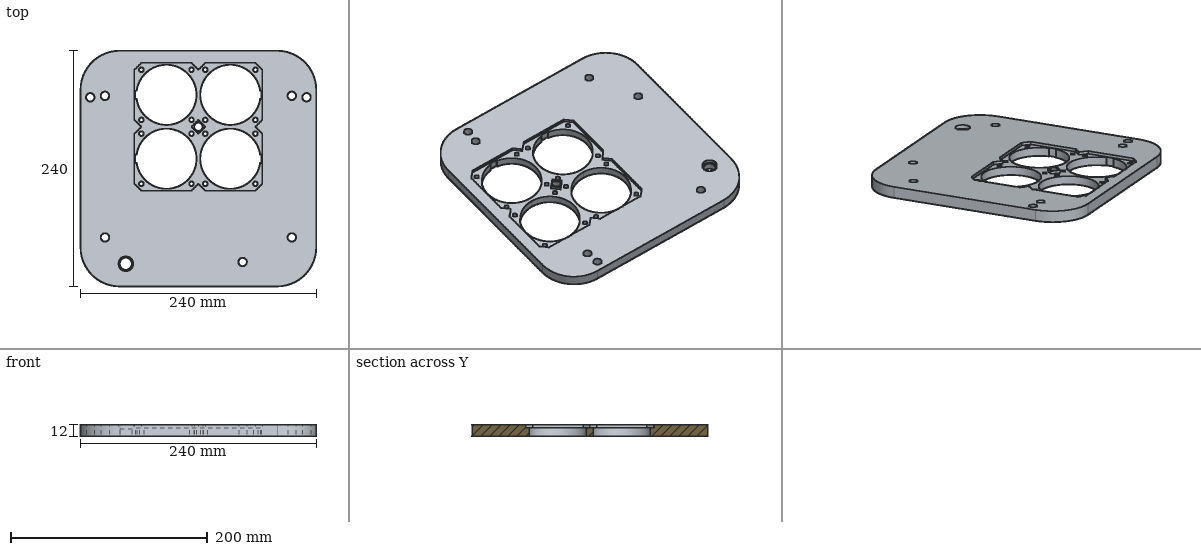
import cadquery as cq

PLATE_SIZE = 240.0
PLATE_THICKNESS = 12.0
PLATE_CORNER_RADIUS = 40.0

FAN_SIZE = 65.0
FAN_CORNER_CHAMFER = 7.0
FAN_RECESS_DEPTH = 3.0
FAN_BORE_DIAMETER = 61.0
FAN_SCREW_PITCH = 51.0
FAN_SCREW_DIAMETER = 4.5
FAN_GROUP_Y = 42.5

RELIEF_WIDTH = 8.2
RELIEF_REACH = 31.5

BOLT_DIAMETER = 8.4
BOLT_X = 95.0
UPPER_BOLT_Y = 74.0
LOWER_BOLT_Y = -70.0
EDGE_HOLE_X = 110.0
EDGE_HOLE_Y = 72.5
FRONT_HOLE_POSITION = (45.0, -95.0)

CABLE_HOLE_POSITION = (-73.8, -96.8)
CABLE_HOLE_DIAMETER = 12.2
CABLE_COUNTERBORE_DIAMETER = 15.0
CABLE_COUNTERBORE_DEPTH = 4.0

SIDES = (-1, 1)


def cylinder(diameter, points, bottom=0.0):
    """Cylinders from the given height up to the top face, one per point."""
    return (
        cq.Workplane("XY", origin=(0, 0, bottom))
        .pushPoints(points)
        .circle(diameter / 2)
        .extrude(PLATE_THICKNESS - bottom)
    )


def make_plate():
    return (
        cq.Workplane("XY")
        .rect(PLATE_SIZE, PLATE_SIZE)
        .extrude(PLATE_THICKNESS)
        .edges("|Z")
        .fillet(PLATE_CORNER_RADIUS)
    )


def fan_cutter(side_x, side_y):
    """Recess, bore, outer relief and four screw holes of one fan."""
    x = side_x * FAN_SIZE / 2
    y = FAN_GROUP_Y + side_y * FAN_SIZE / 2
    recess = (
        cq.Workplane("XY", origin=(x, y, PLATE_THICKNESS - FAN_RECESS_DEPTH))
        .rect(FAN_SIZE, FAN_SIZE)
        .extrude(FAN_RECESS_DEPTH)
        .edges("|Z")
        .chamfer(FAN_CORNER_CHAMFER)
    )
    relief = (
        cq.Workplane("XY", origin=(x + side_x * RELIEF_REACH / 2, y, 0))
        .rect(RELIEF_REACH, RELIEF_WIDTH)
        .extrude(PLATE_THICKNESS)
    )
    screw_offset = FAN_SCREW_PITCH / 2
    screws = [(x + i * screw_offset, y + j * screw_offset) for i in SIDES for j in SIDES]
    return (
        recess.union(relief)
        .union(cylinder(FAN_BORE_DIAMETER, [(x, y)]))
        .union(cylinder(FAN_SCREW_DIAMETER, screws))
    )


def bolt_cutter():
    """All plain holes, including the one through the post between the fans."""
    points = [(0, FAN_GROUP_Y), FRONT_HOLE_POSITION]
    for side in SIDES:
        points.append((side * BOLT_X, UPPER_BOLT_Y))
        points.append((side * BOLT_X, LOWER_BOLT_Y))
        points.append((side * EDGE_HOLE_X, EDGE_HOLE_Y))
    return cylinder(BOLT_DIAMETER, points)


def cable_hole_cutter():
    counterbore_floor = PLATE_THICKNESS - CABLE_COUNTERBORE_DEPTH
    counterbore = cylinder(CABLE_COUNTERBORE_DIAMETER, [CABLE_HOLE_POSITION], counterbore_floor)
    return cylinder(CABLE_HOLE_DIAMETER, [CABLE_HOLE_POSITION]).union(counterbore)


result = make_plate()
for side_x in SIDES:
    for side_y in SIDES:
        result = result.cut(fan_cutter(side_x, side_y))
result = result.cut(bolt_cutter()).cut(cable_hole_cutter())